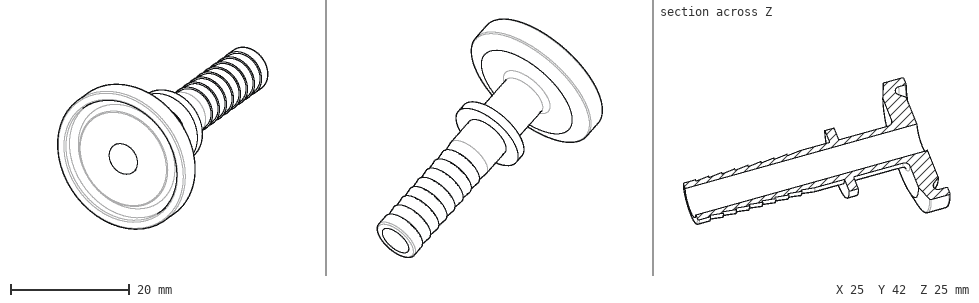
import cadquery as cq
import math

length = 42.0
bore_radius = 2.77
tube_radius = 4.0

flange_radius = 12.495
edge_round = 0.25
flange_top = 4.7
flange_top_radius = 9.5
bevel_angle = 20.0
neck_fillet = 0.9

recess_depth = 0.85
recess_face_radius = 8.55
groove_outer_radius = 10.88
groove_arc_radius = 0.8
groove_wall_angle = 40.0

collar_radius = 6.5
collar_bottom = 14.32
collar_top = 16.0

barb_count = 8
barb_pitch = 2.3
barb_root_radius = 3.7
barbs_top = 39.75
tip_round = 0.25


def revolve_about_y(profile):
    return profile.close().revolve(360, (0, 0, 0), (0, 1, 0))


def round_circle_at(body, height):
    """Fillet the circular edge whose center lies at this height on the axis."""
    circle = cq.selectors.NearestToPointSelector((0, height, 0))
    return body.edges("%CIRCLE").edges(circle).fillet(edge_round)


def make_flange():
    bevel_drop = (flange_radius - flange_top_radius) * math.tan(math.radians(bevel_angle))
    rim_top = flange_top - bevel_drop
    flange = revolve_about_y(
        cq.Workplane("XY")
        .lineTo(flange_radius, 0)
        .lineTo(flange_radius, rim_top)
        .lineTo(flange_top_radius, flange_top)
        .lineTo(0, flange_top)
    )
    flange = round_circle_at(flange, rim_top)
    flange = flange.cut(make_face_recess()).faces("<Y").edges().fillet(edge_round)
    return round_circle_at(flange, recess_depth)


def make_face_recess():
    """Shallow recess ringed by a groove with a straight outer wall and a sloping inner wall."""
    wall = math.radians(groove_wall_angle)
    center_x = groove_outer_radius - groove_arc_radius
    tangent_x = center_x - groove_arc_radius * math.cos(wall)
    tangent_y = recess_depth + (tangent_x - recess_face_radius) / math.tan(wall)
    center_y = tangent_y - groove_arc_radius * math.sin(wall)
    return revolve_about_y(
        cq.Workplane("XY")
        .lineTo(groove_outer_radius, 0)
        .lineTo(groove_outer_radius, center_y)
        .threePointArc((center_x, center_y + groove_arc_radius), (tangent_x, tangent_y))
        .lineTo(recess_face_radius, recess_depth)
        .lineTo(0, recess_depth)
    )


def make_tube():
    barbs_bottom = barbs_top - barb_count * barb_pitch
    profile = (
        cq.Workplane("XY")
        .moveTo(0, flange_top)
        .lineTo(tube_radius, flange_top)
        .lineTo(tube_radius, barbs_bottom)
    )
    for barb in range(barb_count):
        barb_end = barbs_bottom + (barb + 1) * barb_pitch
        profile = profile.lineTo(barb_root_radius, barb_end).lineTo(tube_radius, barb_end)
    profile = profile.lineTo(tube_radius, length).lineTo(0, length)
    return revolve_about_y(profile).faces(">Y").edges().fillet(tip_round)


def make_neck_fillet():
    middle = neck_fillet * (1 - math.sqrt(0.5))
    return revolve_about_y(
        cq.Workplane("XY")
        .moveTo(0, flange_top)
        .lineTo(tube_radius + neck_fillet, flange_top)
        .threePointArc(
            (tube_radius + middle, flange_top + middle),
            (tube_radius, flange_top + neck_fillet),
        )
        .lineTo(0, flange_top + neck_fillet)
    )


def cylinder(radius, bottom, top):
    return revolve_about_y(
        cq.Workplane("XY")
        .moveTo(0, bottom)
        .lineTo(radius, bottom)
        .lineTo(radius, top)
        .lineTo(0, top)
    )


result = (
    make_flange()
    .union(make_tube())
    .union(make_neck_fillet())
    .union(cylinder(collar_radius, collar_bottom, collar_top))
    .cut(cylinder(bore_radius, 0, length))
)